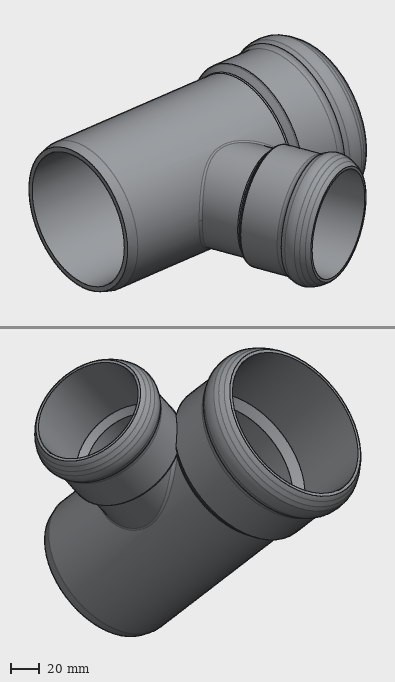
import cadquery as cq

length = 211.2
pipe_radius = 55.1
pipe_bore_radius = 49.5
socket_radius = 60.2
socket_bore_radius = 55.3
bead_radius = 64.6
spigot_chamfer_length = 7.4
spigot_chamfer_depth = 2.1

main_socket_length = 58.7
main_cone_end = 64.6

branch_tilt = 22.5
branch_axis_y = 83.5
branch_length = 130.3
branch_radius = 39.0
branch_bore_radius = 68.6 / 2
branch_socket_radius = 87.6 / 2
branch_socket_bore_radius = 39.3
branch_bead_radius = 47.7
branch_socket_length = 53.6
branch_cone_end = 58.0

lip_rounding = 2.5
lip_length = 3.0
bead_front = 6.3
bead_crest_front = 9.7
bead_flank = 3.4
bead_foot = 4.2
bead_flank_share = 0.5
bead_shoulder_drop = 0.6
main_bead_crest_back = 20.0
branch_bead_crest_back = 17.3

cone_ramp_length = 1.3
cone_ramp_rise = 0.5
cone_edge_break = 0.5

seam_fillet = 2.1


def revolve_profile(profile):
    return profile.close().revolve(360, (0, 0, 0), (0, 1, 0))


def cylinder(radius, start, end):
    return cq.Workplane("XZ", origin=(0, start, 0)).circle(radius).extrude(start - end)


def socket_outside(mouth, pipe_r, socket_r, bead_r, socket_len, cone_end, crest_back):
    """Solid socket around Y: entry cone, sleeve, rounded bead and lip."""
    flank_r = socket_r + bead_flank_share * (bead_r - socket_r)
    shoulder_r = bead_r - bead_shoulder_drop
    crest_middle = mouth - (crest_back + bead_crest_front) / 2
    flank_back = crest_back + bead_flank
    foot_back = flank_back + bead_foot
    profile = (
        cq.Workplane("XY")
        .moveTo(0, mouth - cone_end - cone_ramp_length)
        .lineTo(pipe_r - cone_ramp_rise, mouth - cone_end - cone_ramp_length)
        .lineTo(pipe_r + cone_ramp_rise, mouth - cone_end + cone_ramp_length)
        .lineTo(socket_r - cone_edge_break, mouth - socket_len - cone_edge_break)
        .lineTo(socket_r, mouth - socket_len + cone_edge_break)
        .lineTo(socket_r, mouth - foot_back)
        .tangentArcPoint((flank_r, mouth - flank_back), relative=False)
        .lineTo(shoulder_r, mouth - crest_back)
        .threePointArc((bead_r, crest_middle), (shoulder_r, mouth - bead_crest_front))
        .lineTo(flank_r, mouth - bead_front)
        .lineTo(socket_r, mouth - lip_length)
        .tangentArcPoint((socket_r - lip_rounding, mouth), relative=False)
        .lineTo(0, mouth)
    )
    return revolve_profile(profile)


def bore(start, mouth, bore_r, socket_bore_r, socket_len, cone_end):
    """Pipe bore that widens through a cone into the socket bore."""
    profile = (
        cq.Workplane("XY")
        .moveTo(0, start)
        .lineTo(bore_r, start)
        .lineTo(bore_r, mouth - cone_end)
        .lineTo(socket_bore_r, mouth - socket_len)
        .lineTo(socket_bore_r, mouth)
        .lineTo(0, mouth)
    )
    return revolve_profile(profile)


def place_on_branch(shape):
    """Turn a shape built along Y onto the branch axis."""
    turned = shape.rotate((0, 0, 0), (0, 0, 1), branch_tilt - 90)
    return turned.translate((0, branch_axis_y, 0))


main_pipe_end = length - main_socket_length / 2
main_pipe = revolve_profile(
    cq.Workplane("XY")
    .lineTo(pipe_radius - spigot_chamfer_depth, 0)
    .lineTo(pipe_radius, spigot_chamfer_length)
    .lineTo(pipe_radius, main_pipe_end)
    .lineTo(0, main_pipe_end)
)
branch_pipe_end = branch_length - branch_socket_length / 2
branch_pipe = place_on_branch(cylinder(branch_radius, 0, branch_pipe_end))
pipes = main_pipe.union(branch_pipe)
pipes = pipes.edges("%BSPLINE").fillet(seam_fillet)

main_socket = socket_outside(
    length, pipe_radius, socket_radius, bead_radius,
    main_socket_length, main_cone_end, main_bead_crest_back,
)
branch_socket = place_on_branch(socket_outside(
    branch_length, branch_radius, branch_socket_radius, branch_bead_radius,
    branch_socket_length, branch_cone_end, branch_bead_crest_back,
))

main_bore = bore(
    0, length, pipe_bore_radius, socket_bore_radius, main_socket_length, main_cone_end
)
branch_bore = place_on_branch(bore(
    0, branch_length, branch_bore_radius, branch_socket_bore_radius,
    branch_socket_length, branch_cone_end,
))

result = pipes.union(main_socket).union(branch_socket).cut(main_bore).cut(branch_bore)